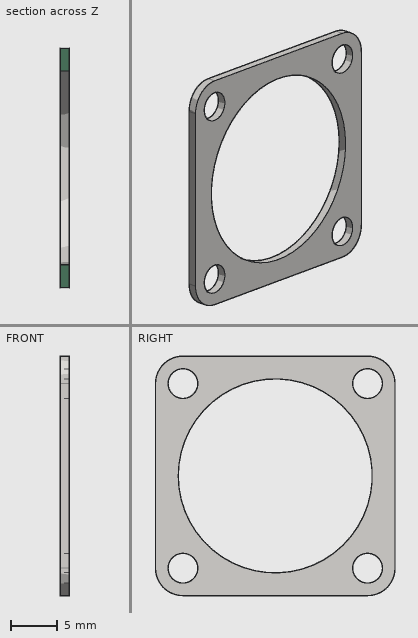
import cadquery as cq

side = 26.0
thickness = 1.0
corner_radius = 3.0
bore_diameter = 21.0
bolt_hole_diameter = 3.2

bolt_pitch = side - 2 * corner_radius

plate = (
    cq.Workplane("YZ")
    .rect(side, side)
    .extrude(thickness)
    .edges("|X")
    .fillet(corner_radius)
)

result = (
    plate.faces(">X")
    .workplane(centerOption="CenterOfBoundBox")
    .hole(bore_diameter)
    .faces(">X")
    .workplane(centerOption="CenterOfBoundBox")
    .rect(bolt_pitch, bolt_pitch, forConstruction=True)
    .vertices()
    .hole(bolt_hole_diameter)
)